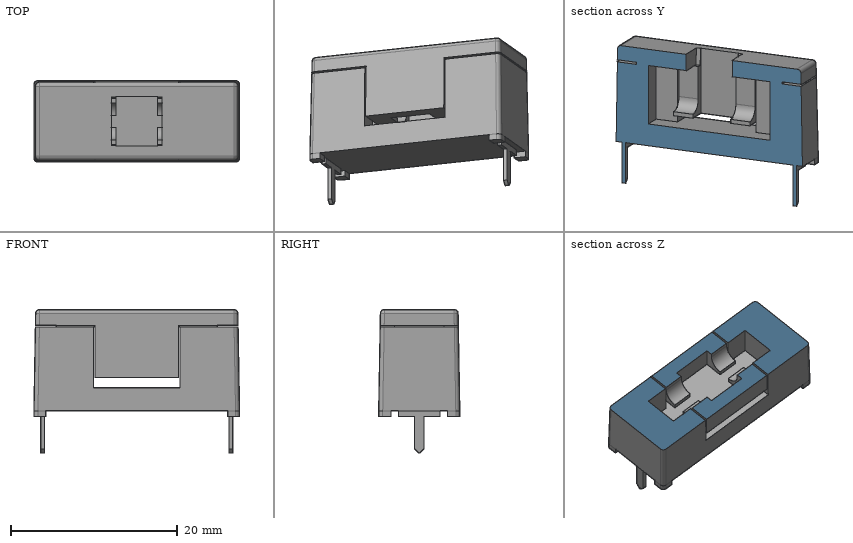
import cadquery as cq
import math


length = 24.8
width = 9.8
height = 12.9
draft_angle = 1.0
corner_radius = 0.5
top_fillet = 0.5

foot_height = 0.7
foot_length = 1.45
foot_width = 1.5
base_top = 10.8
slot_length = 10.4
slot_floor = 3.5
cavity_length = 16.1
cavity_width = 4.3

cover_gap = 0.2
cover_bottom = base_top + cover_gap
plug_length = 19.4
tab_length = 10.1
tab_bottom = 4.7
tab_spacing = 6.0

window_length = 6.1
window_top_width = 5.85
window_bottom_width = 5.55
window_middle_length = 5.0

cradle_width = 4.46
cradle_opening = 1.44
cradle_lip = 0.5

pin_spacing = 22.7
pin_thickness = 0.48
pin_width = 1.15
pin_length = 4.4
pin_tip_chamfer = 0.5
pin_shoulder_width = 5.0


def block(size_x, size_y, bottom, top, center_x=0, center_y=0):
    """Axis-aligned box centred at (center_x, center_y) between two heights."""
    solid = cq.Workplane("XY").box(size_x, size_y, top - bottom, centered=(True, True, False))
    return solid.translate((center_x, center_y, bottom))


def make_envelope():
    """Drafted outline above the feet, with rounded corners and a rounded top edge."""
    body = cq.Workplane("XY", origin=(0, 0, foot_height)).rect(length, width)
    body = body.extrude(height - foot_height, taper=draft_angle)
    body = body.edges("not #Z").fillet(corner_radius)
    return body.faces(">Z").edges().fillet(top_fillet)


def make_feet():
    """Four straight-sided corner feet under the base."""
    footprint = block(length, width, 0, foot_height).edges("|Z").fillet(corner_radius)
    feet = cq.Workplane("XY")
    for side_x in (-1, 1):
        for side_y in (-1, 1):
            foot_x = side_x * (length - foot_length) / 2
            foot_y = side_y * (width - foot_width) / 2
            feet.add(footprint.intersect(block(foot_length, foot_width, 0, foot_height, foot_x, foot_y)))
    return feet.combine()


def make_base(envelope):
    """Lower housing with corner feet, a slot for the tabs and a fuse cavity."""
    base = envelope.intersect(block(length, width, foot_height, base_top))
    base = base.cut(block(slot_length, width, slot_floor, base_top))
    base = base.cut(block(cavity_length, cavity_width, slot_floor, base_top))
    return base.union(make_feet())


def make_rib(start_x, end_x):
    """Cradle rib on the +Y tab: flat top, upright side and a quarter arc down to the lip."""
    outer = tab_spacing / 2
    side = cradle_width / 2
    opening = cradle_opening / 2
    lip_top = tab_bottom + cradle_lip
    radius = side - opening
    diagonal = radius * math.sqrt(0.5)
    arc_middle = (opening + diagonal, lip_top + radius - diagonal)
    profile = (
        cq.Workplane("YZ", origin=(start_x, 0, 0))
        .moveTo(outer, tab_bottom)
        .lineTo(opening, tab_bottom)
        .lineTo(opening, lip_top)
        .threePointArc(arc_middle, (side, lip_top + radius))
        .lineTo(side, base_top)
        .lineTo(outer, base_top)
        .close()
    )
    return profile.extrude(end_x - start_x)


def make_window():
    """Opening through lid and plug: ends narrow downward, middle reaches the tab faces."""
    top = window_top_width / 2
    bottom = window_bottom_width / 2
    corners = [(-bottom, base_top), (bottom, base_top), (top, height), (-top, height)]
    drafted = cq.Workplane("YZ").polyline(corners).close().extrude(window_length / 2, both=True)
    return drafted.union(block(window_middle_length, tab_spacing, base_top, height))


def make_cover(envelope):
    """Lid with a plug resting on the base, two side tabs, a window and cradle ribs."""
    lid = envelope.intersect(block(length, width, cover_bottom, height))
    plug = block(plug_length, tab_spacing, base_top, cover_bottom)
    tabs = envelope.intersect(block(tab_length, width, tab_bottom, cover_bottom))
    tabs = tabs.cut(block(tab_length, tab_spacing, tab_bottom, cover_bottom))
    cover = lid.union(plug).union(tabs)
    cover = cover.cut(make_window())
    rib = make_rib(window_middle_length / 2, tab_length / 2)
    rib_pair = rib.union(rib.mirror("YZ"))
    return cover.union(rib_pair).union(rib_pair.mirror("XZ"))


def make_pin(center_x):
    """Flat solder pin with a pointed tip and a wide shoulder under the base."""
    pin = block(pin_thickness, pin_width, -pin_length, 0)
    pin = pin.faces("<Z").edges("|X").chamfer(pin_tip_chamfer)
    shoulder = block(pin_thickness, pin_shoulder_width, 0, foot_height)
    return pin.union(shoulder).translate((center_x, 0, 0))


envelope = make_envelope()
result = make_base(envelope).union(make_cover(envelope))
for side in (-1, 1):
    result = result.union(make_pin(side * pin_spacing / 2))